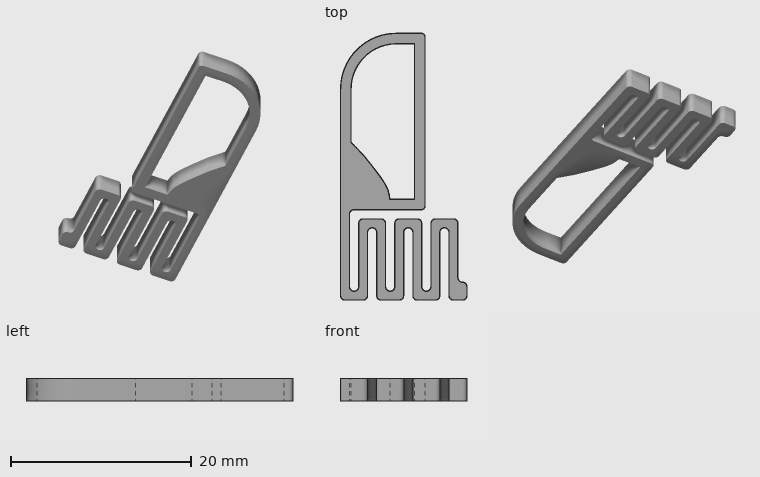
import cadquery as cq

width = 14.0
length = 29.52
thickness = 2.5

lane_count = 14
lane = width / lane_count
loop_count = 3
loop_pitch = 4 * lane
spring_top = 9 * lane
foot_height = 2 * lane
bend_radius = lane / 2
slot_radius = 0.499 * lane

frame_width = 9.35
frame_wall = 1.18
frame_bottom = 10 * lane
shoulder_radius = 6.17
frame_corner_radius = 0.4

web_width = 4.28
web_height = 6.3
web_curve_offsets = [(1.55, -1.65), (2.92, -3.4), (4.05, -5.2)]


def block(left, bottom, right, top):
    """Full-thickness rectangular block between two opposite corners."""
    solid = cq.Workplane("XY").box(right - left, top - bottom, thickness, centered=False)
    return solid.translate((left, bottom, 0))


def make_frame():
    """Frame with a large rounded shoulder and two small right-hand corners."""
    outer = block(0, frame_bottom, frame_width, length)
    outer = outer.edges("|Z and >X").fillet(frame_corner_radius)
    return outer.edges("|Z and <X and >Y").fillet(shoulder_radius)


def make_opening():
    """Frame opening, bounded at the lower left by the curved web."""
    left = frame_wall
    right = frame_width - frame_wall
    bottom = frame_bottom + frame_wall
    top = length - frame_wall
    radius = shoulder_radius - frame_wall
    web_side = (left, bottom + web_height)
    web_foot = (left + web_width, bottom)
    web_curve = [(web_side[0] + dx, web_side[1] + dy) for dx, dy in web_curve_offsets]
    return (
        cq.Workplane("XY")
        .moveTo(*web_side)
        .spline(web_curve + [web_foot], includeCurrent=True)
        .lineTo(right, bottom)
        .lineTo(right, top)
        .lineTo(left + radius, top)
        .radiusArc((left, top - radius), -radius)
        .close()
        .extrude(thickness)
    )


def make_spring():
    """Stem and serpentine legs, ending in a small foot; corners still square."""
    spring = block(0, 0, lane, frame_bottom)
    for loop in range(loop_count):
        start = loop * loop_pitch
        rise = start + 2 * lane
        fall = start + 4 * lane
        spring = spring.union(block(start, 0, rise + lane, lane))
        spring = spring.union(block(rise, 0, rise + lane, spring_top))
        spring = spring.union(block(rise, spring_top - lane, fall + lane, spring_top))
        spring = spring.union(block(fall, 0, fall + lane, spring_top))
    return spring.union(block(width - 2 * lane, 0, width, foot_height))


def round_upright_edges(body, points, radius):
    """Fillet the upright edges of the body that stand on the given points."""
    reach = lane / 10
    for x, y in points:
        probe = cq.selectors.BoxSelector((x - reach, y - reach, 0), (x + reach, y + reach, thickness))
        body = body.edges("|Z").edges(probe).fillet(radius)
    return body


bend_corners = [
    (width, 0),
    (width, foot_height),
    (loop_count * loop_pitch, 0),
    (lane, frame_bottom),
]
slot_corners = [(width - lane, foot_height)]
for loop in range(loop_count):
    start = loop * loop_pitch
    bend_corners += [(start, 0), (start + 3 * lane, 0)]
    bend_corners += [(start + 2 * lane, spring_top), (start + 5 * lane, spring_top)]
    slot_corners += [(start + lane, lane), (start + 2 * lane, lane)]
    slot_corners += [(start + 3 * lane, spring_top - lane), (start + 4 * lane, spring_top - lane)]

body = make_frame().cut(make_opening()).union(make_spring())
body = round_upright_edges(body, bend_corners, bend_radius)
result = round_upright_edges(body, slot_corners, slot_radius)